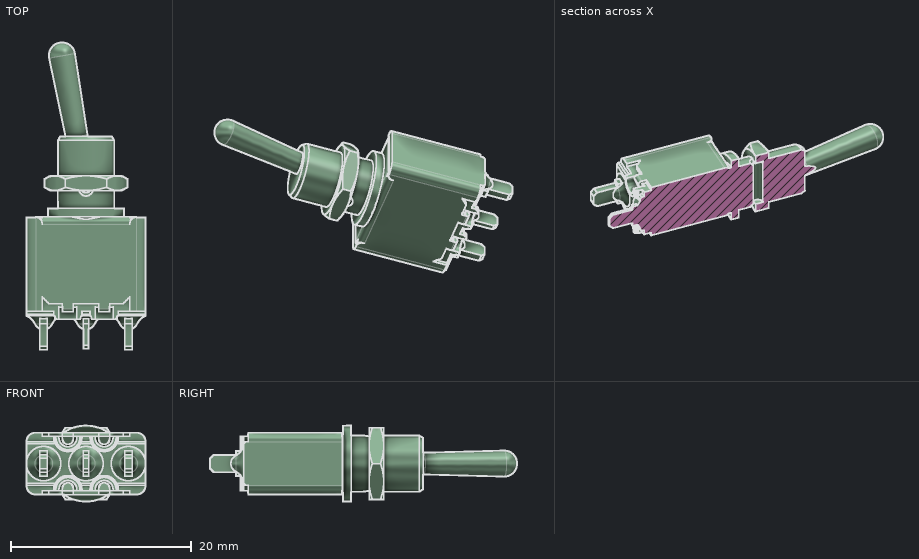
import cadquery as cq
import math


overlap = 0.35

case_width = 13.2
case_height = 6.88
case_corner = 1.02
case_front = -0.085
case_back = -10.5

base_height = case_height - 2 * case_corner
base_back = -11.0
base_bevel_depth = 0.2
base_bevel_height = 0.25

bracket_width = 9.75
bracket_thickness = 0.4
bracket_bend = 0.82
bracket_back = -9.65
bracket_corner = 0.75
lip_width = case_width - 2 * case_corner
ridge_corner = 0.6

tab_spacing = 4.02
tab_width = 1.23
tab_back = -10.55
tab_bend = 0.37
tab_end_height = 2.08
tab_tilt = 20
cup_centre_height = 2.85
cup_outer_radius = 1.43
cup_foot_radius = 1.55
cup_foot_back = -11.1
cup_inner_radius = 1.0
cup_rim_bevel = 0.1
cup_back = -11.37
pocket_front = -10.0
pocket_limit = -8.5
ledge_height = case_height / 2 - bracket_thickness

terminal_spacing = 4.7
outer_terminal_thickness = 0.85
centre_terminal_thickness = 0.58
outer_terminal_tip = -14.75
centre_terminal_tip = -14.65
pin_height = 1.95
pin_bevel = 0.4
shoulder_height = 2.8
shoulder_back = -11.85
mound_radius = 1.9
mound_flare_radius = 1.35
mound_flare = -11.35
mound_neck_radius = 1.0
mound_neck = -11.85
mound_tip = -12.5

flange_radius = 4.22
flange_length = 0.92
bushing_radius = 3.13
bushing_front = 8.9
spigot_radius = 3.25
bushing_bevel_length = 0.45
bushing_bevel_depth = 0.27
nut_back = 2.9
nut_length = 1.65
nut_across_flats = 7.97
nut_bore_radius = 2.85

pivot_y = 3.2
pivot_hole_radius = 0.55
pivot_sink_radius = 0.92
lever_tilt = 10.3
lever_tip = 19.3
lever_ball_radius = 1.45
lever_neck_radius = 1.23


def block(width, back, front, bottom, top, x=0):
    """Box centred on x, given by its limits along Y and Z."""
    return (
        cq.Workplane("XY")
        .box(width, front - back, top - bottom, centered=(True, False, False))
        .translate((x, back, bottom))
    )


def rod(radius, back, front, x=0, z=0):
    """Cylinder parallel to Y."""
    return cq.Workplane("XZ", origin=(x, back, z)).circle(radius).extrude(back - front)


def on_both_faces(solid):
    """Solid together with its mirror image in the mid-plane z = 0."""
    return solid.union(solid.mirror("XY"))


def tilted(solid, y, z):
    """Solid turned about the X-parallel line at y, z so that its lower part leans forwards."""
    return solid.rotate((0, y, z), (1, y, z), tab_tilt)


def make_case():
    """Case with a recess for the bracket on both faces, and the base that closes it."""
    case = block(case_width, case_back, case_front, -case_height / 2, case_height / 2)
    case = case.edges("|Y").fillet(case_corner)
    recess = block(bracket_width, case_back, case_front, ledge_height, case_height / 2)
    case = case.cut(on_both_faces(recess))
    near_lip = cq.selectors.BoxSelector(
        (-lip_width / 2, -bracket_bend, -case_height),
        (lip_width / 2, bracket_bend, case_height),
    )
    case = case.edges(near_lip).edges("|Z").fillet(ridge_corner)
    fold_space = block(bracket_width, -bracket_bend, case_front, -case_height / 2, case_height / 2)
    case = case.cut(fold_space)
    half = base_height / 2
    base = (
        cq.Workplane("YZ")
        .moveTo(-bracket_bend, -half)
        .lineTo(base_back + base_bevel_depth, -half)
        .lineTo(base_back, base_bevel_height - half)
        .lineTo(base_back, half - base_bevel_height)
        .lineTo(base_back + base_bevel_depth, half)
        .lineTo(-bracket_bend, half)
        .close()
        .extrude(case_width / 2, both=True)
    )
    return case.union(base)


def make_cup(x):
    """Half-round cup, open towards the face of the case."""
    cup = rod(cup_outer_radius, cup_back, case_back + overlap, x, cup_centre_height)
    cup = cup.faces("<Y").edges().chamfer(cup_rim_bevel)
    foot = rod(cup_foot_radius, cup_foot_back, case_back + overlap, x, cup_centre_height)
    foot = foot.faces("<Y").edges().chamfer(cup_foot_radius - cup_outer_radius)
    return cup.union(foot).intersect(block(2 * cup_foot_radius, cup_back, 0, 0, ledge_height, x))


def make_pocket(x):
    """Round-bottomed pocket whose floor slopes with the tab."""
    bore = rod(cup_inner_radius, cup_back, pocket_limit, x, cup_centre_height)
    opening = block(2 * cup_inner_radius, cup_back, pocket_limit, cup_centre_height, case_height / 2, x)
    beyond_floor = block(2 * cup_outer_radius, pocket_front, 0, -case_height / 2, case_height, x)
    return bore.union(opening).cut(tilted(beyond_floor, pocket_front, ledge_height))


def make_bracket():
    """Folded plate whose front bend is wider than its flat faces."""
    top = case_height / 2
    shell = block(lip_width, bracket_back, 0, -top, top)
    shell = shell.edges("|X and >Y").fillet(bracket_bend)
    lip_overhang = (lip_width - bracket_width) / 2
    for side in (-1, 1):
        overhang_x = side * (bracket_width + lip_overhang) / 2
        shell = shell.cut(block(lip_overhang, bracket_back, -bracket_bend, -top, top, overhang_x))
    return shell.edges("|Z and <Y").chamfer(bracket_corner)


def make_tab(x):
    """Tab that runs back from the bracket and folds inward to a round end."""
    top = case_height / 2
    strip = block(tab_width, tab_back, bracket_back, ledge_height, top, x)
    strip = strip.edges("|X and <Y and >Z").fillet(tab_bend)
    fold_front = tab_back + bracket_thickness
    fold_base = tab_end_height + tab_width / 2
    fold = block(tab_width, tab_back, fold_front, fold_base, ledge_height, x)
    end_space = block(tab_width, tab_back, fold_front, tab_end_height, fold_base, x)
    round_end = rod(tab_width / 2, tab_back, fold_front, x, fold_base).intersect(end_space)
    fold = fold.union(round_end)
    return strip.union(tilted(fold, tab_back, ledge_height))


def make_terminal(x, thickness, tip):
    """Flat pin with a bevelled tip and a taller shoulder at its root."""
    pin = block(thickness, tip, base_back, -pin_height / 2, pin_height / 2, x)
    pin = pin.edges("|X and <Y").chamfer(pin_bevel)
    shoulder = block(thickness, shoulder_back, base_back, -shoulder_height / 2, shoulder_height / 2, x)
    return pin.union(shoulder)


def make_mound(x):
    """Flared mound with a domed cap."""
    cap_height = mound_neck - mound_tip
    cap_radius = (mound_neck_radius**2 + cap_height**2) / (2 * cap_height)
    cap_mid_y = mound_tip + cap_radius - math.sqrt(cap_radius**2 - mound_neck_radius**2 / 4)
    mound = (
        cq.Workplane("XY")
        .moveTo(0, base_back + overlap)
        .lineTo(mound_radius, base_back + overlap)
        .lineTo(mound_radius, base_back)
        .threePointArc((mound_flare_radius, mound_flare), (mound_neck_radius, mound_neck))
        .threePointArc((mound_neck_radius / 2, cap_mid_y), (0, mound_tip))
        .close()
        .revolve(360, (0, 0), (0, 1))
    )
    return mound.translate((x, 0, 0))


def make_bushing():
    """Bushing with its flange and the spigot that enters the case."""
    bushing = rod(bushing_radius, 0, bushing_front)
    bushing = bushing.faces(">Y").chamfer(bushing_bevel_length, bushing_bevel_depth)
    spigot = rod(spigot_radius, -flange_length, 0)
    return bushing.union(spigot).union(rod(flange_radius, 0, flange_length))


def make_nut():
    """Hexagon nut with 30 degree bevels on both faces and flats facing +Z and -Z."""
    corner_radius = nut_across_flats / math.sqrt(3)
    face_radius = nut_across_flats / 2
    bevel = (corner_radius - face_radius) * math.tan(math.radians(30))
    hexagon = (
        cq.Workplane("XZ", origin=(0, nut_back, 0))
        .polygon(6, 2 * corner_radius)
        .extrude(-nut_length)
    )
    envelope = (
        cq.Workplane("XY")
        .moveTo(0, nut_back)
        .lineTo(face_radius, nut_back)
        .lineTo(corner_radius, nut_back + bevel)
        .lineTo(corner_radius, nut_back + nut_length - bevel)
        .lineTo(face_radius, nut_back + nut_length)
        .lineTo(0, nut_back + nut_length)
        .close()
        .revolve(360, (0, 0), (0, 1))
    )
    return hexagon.intersect(envelope)


def make_lever():
    """Tapered lever with a ball end, tilted towards -X about the pivot."""
    tilt_cosine = math.cos(math.radians(lever_tilt))
    ball_y = (lever_tip - lever_ball_radius - pivot_y) / tilt_cosine
    neck_y = (bushing_front - pivot_y) / tilt_cosine
    lever = (
        cq.Workplane("XY")
        .lineTo(lever_neck_radius, 0)
        .lineTo(lever_neck_radius, neck_y)
        .lineTo(lever_ball_radius, ball_y)
        .radiusArc((0, ball_y + lever_ball_radius), -lever_ball_radius)
        .close()
        .revolve(360, (0, 0), (0, 1))
    )
    return lever.rotate((0, 0, 0), (0, 0, 1), lever_tilt).translate((0, pivot_y, 0))


def make_pivot_hole():
    """Cross hole through the bushing, countersunk at both ends."""
    sink_depth = pivot_sink_radius - pivot_hole_radius
    sink_start = bushing_radius - sink_depth
    hole = cq.Workplane("XY").circle(pivot_hole_radius).extrude(bushing_radius, both=True)
    sink = (
        cq.Workplane("XY", origin=(0, 0, sink_start))
        .circle(pivot_hole_radius)
        .workplane(offset=sink_depth)
        .circle(pivot_sink_radius)
        .loft()
    )
    return hole.union(on_both_faces(sink)).translate((0, pivot_y, 0))


result = make_case().union(make_bracket())

for tab_x in (-tab_spacing / 2, tab_spacing / 2):
    result = result.union(on_both_faces(make_cup(tab_x)))

for mound_x in (-terminal_spacing, 0, terminal_spacing):
    result = result.union(make_mound(mound_x))

for tab_x in (-tab_spacing / 2, tab_spacing / 2):
    result = result.cut(on_both_faces(make_pocket(tab_x)))
    result = result.union(on_both_faces(make_tab(tab_x)))

for terminal_x in (-terminal_spacing, terminal_spacing):
    result = result.union(make_terminal(terminal_x, outer_terminal_thickness, outer_terminal_tip))
result = result.union(make_terminal(0, centre_terminal_thickness, centre_terminal_tip))

result = result.union(make_bushing()).union(make_lever())
result = result.cut(make_pivot_hole())
nut_bore = rod(nut_bore_radius, nut_back, nut_back + nut_length)
result = result.union(make_nut().cut(nut_bore))